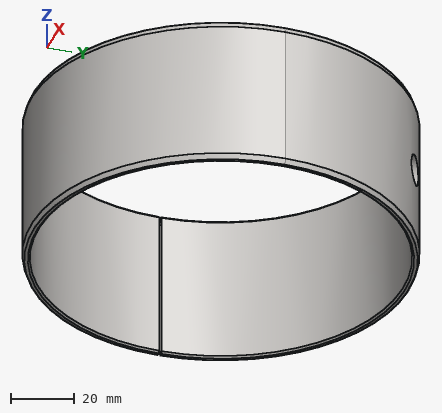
import cadquery as cq

outer_radius = 62.5
wall = 2.4
height = 50.0
outer_edge_height = 1.9
inner_edge_height = 0.6
edge_depth = 0.6
slit_width = 0.9
slit_offset = 0.5
hole_diameter = 10.0
hole_angle = 59.0

inner_radius = outer_radius - wall
slit_reach = 4 * wall
half_height = height / 2


def split_sleeve():
    """Thin ring, chamfered on its rims and slit along the -X side."""
    outer_shoulder = half_height - outer_edge_height
    inner_shoulder = half_height - inner_edge_height
    profile = [
        (inner_radius, -inner_shoulder),
        (inner_radius + edge_depth, -half_height),
        (outer_radius - edge_depth, -half_height),
        (outer_radius, -outer_shoulder),
        (outer_radius, outer_shoulder),
        (outer_radius - edge_depth, half_height),
        (inner_radius + edge_depth, half_height),
        (inner_radius, inner_shoulder),
    ]
    ring = cq.Workplane("XZ").polyline(profile).close().revolve(360, (0, 0), (0, 1))
    slit = cq.Workplane("XY").box(slit_reach, slit_width, height)
    slit = slit.translate((-outer_radius, slit_offset, 0))
    return ring.cut(slit)


def radial_hole():
    """Cutter that starts on the axis and leaves through one side of the wall."""
    cutter = cq.Workplane("YZ").circle(hole_diameter / 2).extrude(outer_radius + wall)
    return cutter.rotate((0, 0, 0), (0, 0, 1), hole_angle)


result = split_sleeve().cut(radial_hole())